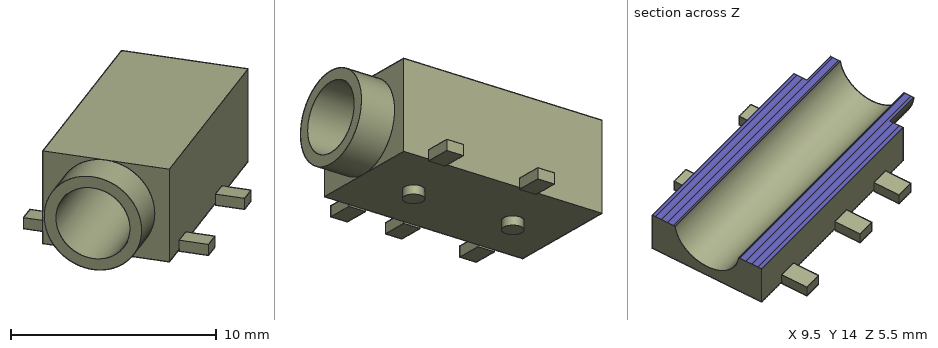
import cadquery as cq

body_width = 6.5
body_length = 12.0
body_height = 5.0

nose_diameter = body_height
nose_length = 2.0
bore_diameter = 3.8
axis_height = body_height / 2

overall_width = 9.5
tab_reach = (overall_width - body_width) / 2
tab_width = 1.0
tab_thickness = 0.6
tab_drop = 0.1
left_tab_positions = [2.0, 5.3, 9.8]
right_tab_positions = [2.0, 7.5]

peg_diameter = 1.1
peg_length = 0.5
peg_positions = [3.0, 9.0]


def make_housing():
    """Rectangular housing block."""
    return cq.Workplane("XY").box(
        body_width, body_length, body_height, centered=(True, False, False)
    )


def make_axial_cylinder(diameter, start_y, length):
    """Cylinder on the plug axis, running from start_y toward +Y."""
    start = cq.Vector(0, start_y, axis_height)
    return cq.Workplane(
        cq.Solid.makeCylinder(diameter / 2, length, start, cq.Vector(0, 1, 0))
    )


def make_tab(side, center_y):
    """Solder tab against a side wall; side is -1 for -X and +1 for +X."""
    center_x = side * (body_width + tab_reach) / 2
    return (
        cq.Workplane("XY")
        .box(tab_reach, tab_width, tab_thickness, centered=(True, True, False))
        .translate((center_x, center_y, -tab_drop))
    )


def make_pegs():
    """Locating pegs hanging from the underside."""
    return (
        cq.Workplane("XY")
        .pushPoints([(0, y) for y in peg_positions])
        .circle(peg_diameter / 2)
        .extrude(-peg_length)
    )


result = make_housing()
result = result.union(make_axial_cylinder(nose_diameter, -nose_length, nose_length))
result = result.cut(make_axial_cylinder(bore_diameter, -nose_length, nose_length + body_length))

for tab_y in left_tab_positions:
    result = result.union(make_tab(-1, tab_y))
for tab_y in right_tab_positions:
    result = result.union(make_tab(1, tab_y))

result = result.union(make_pegs())